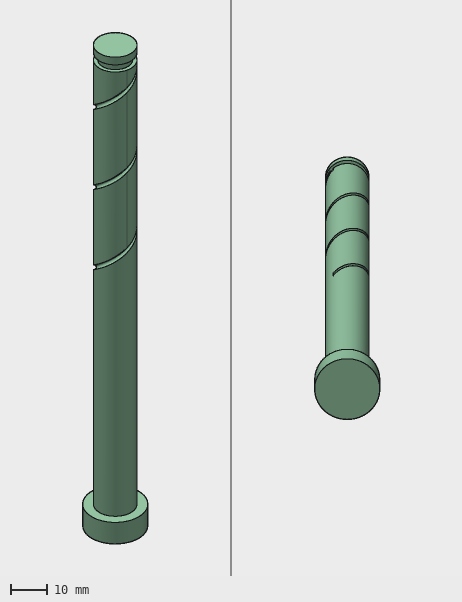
import cadquery as cq

total_height = 160.0
head_diameter = 18.0
head_height = 7.2
shaft_diameter = 12.0
neck_diameter = 9.6
neck_height = 2.4
tip_height = 2.5
groove_radius = 0.8
groove_turns = 3
groove_height = 80.0

shaft_radius = shaft_diameter / 2
neck_top = total_height - tip_height
neck_bottom = neck_top - neck_height
groove_pitch = groove_height / groove_turns
groove_start = neck_bottom - groove_height


def make_pin():
    """Round pin with a head at the bottom and a retaining-ring neck near the tip."""
    head = cq.Workplane("XY").circle(head_diameter / 2).extrude(head_height)
    shaft = cq.Workplane("XY").circle(shaft_radius).extrude(total_height)
    neck_ring = (
        cq.Workplane("XY", origin=(0, 0, neck_bottom))
        .circle(shaft_diameter)
        .circle(neck_diameter / 2)
        .extrude(neck_height)
    )
    return head.union(shaft).cut(neck_ring)


def make_groove_cutter():
    """Round bar wound as a right-handed helix on the shaft surface, starting at +Y."""
    helix = cq.Wire.makeHelix(groove_pitch, groove_height, shaft_radius)
    cutter = (
        cq.Workplane("XZ", origin=(shaft_radius, 0, 0))
        .circle(groove_radius)
        .sweep(cq.Workplane(obj=helix), isFrenet=True)
    )
    return cutter.rotate((0, 0, 0), (0, 0, 1), 90).translate((0, 0, groove_start))


result = make_pin().cut(make_groove_cutter())